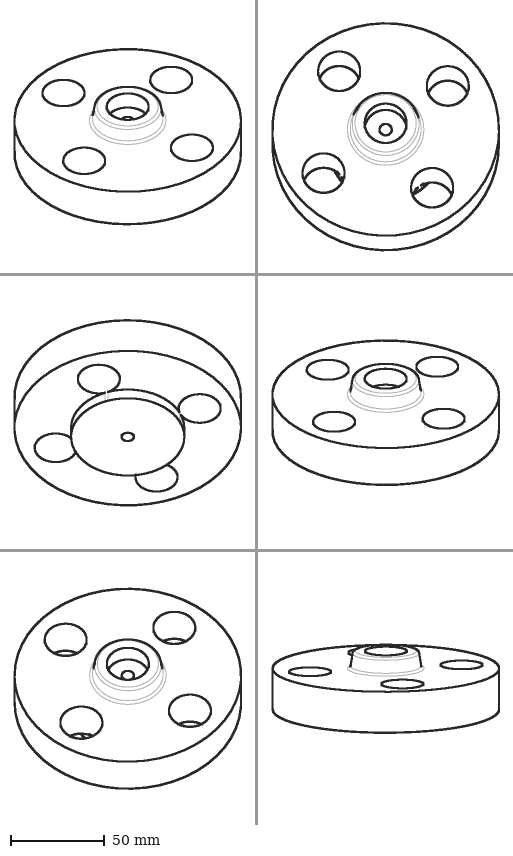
import cadquery as cq
import math

flange_diameter = 120.65
flange_thickness = 22.35
face_diameter = 60.3
face_height = 6.35
overall_height = 38.1

hub_base_diameter = 38.1
hub_taper_angle = 9.0
hub_foot_fillet = 1.5
hub_rim_round = 1.5

bolt_hole_count = 4
bolt_hole_diameter = 22.35
bolt_circle_diameter = 82.55

socket_diameter = 22.35
socket_depth = 9.65
bore_diameter = 6.5

flange_top = face_height + flange_thickness
hub_height = overall_height - flange_top
hub_base_radius = hub_base_diameter / 2
hub_top_radius = hub_base_radius - hub_height * math.tan(math.radians(hub_taper_angle))


def make_turned_body():
    """Raised face, plate and hub as one solid of revolution about Z."""
    profile = [
        (0, 0),
        (face_diameter / 2, 0),
        (face_diameter / 2, face_height),
        (flange_diameter / 2, face_height),
        (flange_diameter / 2, flange_top),
        (hub_base_radius, flange_top),
        (hub_top_radius, overall_height),
        (0, overall_height),
    ]
    return cq.Workplane("XZ").polyline(profile).close().revolve(360, (0, 0), (0, 1))


def round_hub(body):
    """Fillet the hub foot, the second smallest circle of the body, then round the top rim."""
    foot_edge = body.edges("%CIRCLE").edges(cq.selectors.RadiusNthSelector(1))
    blended = foot_edge.fillet(hub_foot_fillet)
    return blended.faces(">Z").edges().fillet(hub_rim_round)


def make_bolt_holes():
    """Cylinders on the bolt circle, starting on the X axis and evenly spaced."""
    return (
        cq.Workplane("XY")
        .polarArray(bolt_circle_diameter / 2, 0, 360, bolt_hole_count)
        .circle(bolt_hole_diameter / 2)
        .extrude(overall_height)
    )


def make_stepped_bore():
    """Through bore that widens into the socket at the hub end."""
    bore = cq.Workplane("XY").circle(bore_diameter / 2).extrude(overall_height)
    socket_floor = cq.Workplane("XY").workplane(offset=overall_height - socket_depth)
    socket = socket_floor.circle(socket_diameter / 2).extrude(socket_depth)
    return bore.union(socket)


result = round_hub(make_turned_body()).cut(make_bolt_holes()).cut(make_stepped_bore())